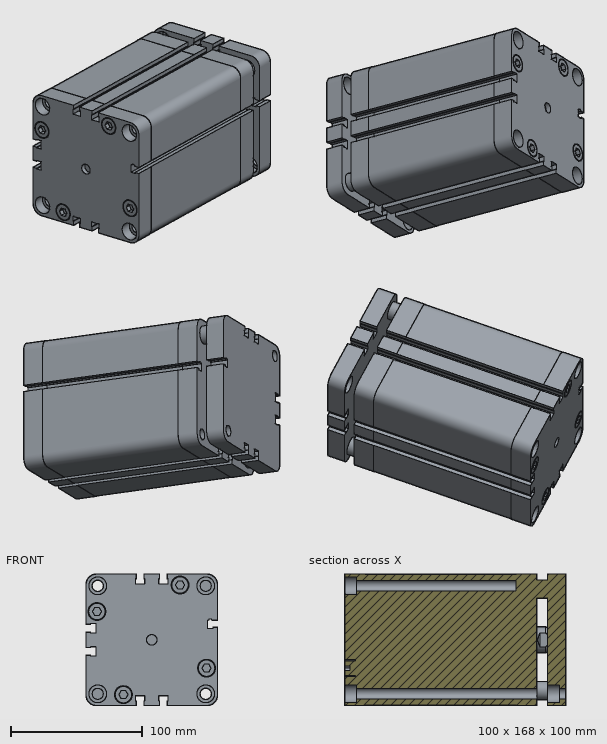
import cadquery as cq
side = 100.0
total_length = 168.0
barrel_side = 99.7
corner_radius = 8.0

plate_thickness = 14.0
plate_gap = 8.0
cap_thickness = 16.0
body_length = total_length - plate_thickness - plate_gap
plate_start = body_length + plate_gap
rear_cap_start = body_length - cap_thickness

slot_depth = 7.5
slot_lip = 3.5
slot_offset = 8.8
slot_mouth = 5.8
slot_width = 6.9
sensor_slot_height = 12.2
sensor_slot_mouth = 5.0
sensor_slot_corner = 1.3

rod_diameter = 20.0
rod_flats = 17.0
rod_flat_length = 5.6
rod_chamfer_length = 1.5
rod_chamfer_depth = 0.6

guide_diameter = 14.0
guide_offset = 38.5

mount_offset = 41.0
mount_bore = 8.4
mount_counterbore = 13.5
mount_counterbore_depth = 9.0

screw_long_offset = 41.6
screw_short_offset = 21.5
screw_seat = 13.5
screw_head = 12.5
screw_head_height = 8.0
hex_across_corners = 6.93
hex_depth = 4.0

centre_hole_diameter = 8.0
centre_hole_depth = 4.0


def rod_along_y(x, z, diameter, start, length):
    """Cylinder parallel to Y, starting at Y = start."""
    return cq.Workplane("XZ", origin=(x, start, z)).circle(diameter / 2).extrude(-length)


def rounded_block(width, start, length):
    """Square block along Y with rounded lengthwise edges."""
    block = cq.Workplane("XZ", origin=(0, start, 0)).rect(width, width).extrude(-length)
    return block.edges("|Y").fillet(corner_radius)


def t_slot(offset, surface):
    """T-slot cutter on the +Z side, centred at X = offset, measured down from Z = surface."""
    top = cq.Workplane("XY").box(slot_mouth, total_length, slot_depth, centered=(True, False, False))
    wide_height = slot_depth - slot_lip
    wide = cq.Workplane("XY").box(slot_width, total_length, wide_height, centered=(True, False, False))
    return top.union(wide).translate((offset, 0, surface - slot_depth))


def turned_about_y(shape, angle):
    return shape.rotate((0, 0, 0), (0, 1, 0), angle)


def sensor_slot(surface):
    """Slot with a narrower mouth on the +X side, measured in from X = surface; upper inner corners broken."""
    mouth = cq.Workplane("XY").box(slot_depth, total_length, sensor_slot_mouth, centered=(False, False, True))
    wide_depth = slot_depth - slot_lip
    wide = cq.Workplane("XY").box(wide_depth, total_length, slot_width, centered=(False, False, True))
    wide = wide.edges("|Y and >Z").chamfer(sensor_slot_corner)
    return mouth.union(wide).translate((surface - slot_depth, 0, sensor_slot_height))


def slotted_block(width, start, length):
    """Rounded block with slot pairs on the +Z, -Z and -X sides and one sensor slot on the +X side."""
    block = rounded_block(width, start, length).cut(sensor_slot(width / 2))
    for offset in (-slot_offset, slot_offset):
        slot = t_slot(offset, width / 2)
        for angle in (0, 180, -90):
            block = block.cut(turned_about_y(slot, angle))
    return block


def piston_rod():
    """Rod joining body and plate, with two flats that run out in 45 degree slopes."""
    radius = rod_diameter / 2
    chamfer_start = plate_gap - rod_chamfer_length
    rod = (
        cq.Workplane("XY", origin=(0, body_length, 0))
        .lineTo(radius, 0)
        .lineTo(radius, chamfer_start)
        .lineTo(radius - rod_chamfer_depth, plate_gap)
        .lineTo(0, plate_gap)
        .close()
        .revolve(360, (0, 0, 0), (0, 1, 0))
    )
    half_flats = rod_flats / 2
    flat_start = plate_gap - rod_flat_length
    runout = radius - half_flats
    flat_cut = (
        cq.Workplane("XY", origin=(0, body_length, 0))
        .moveTo(half_flats, plate_gap)
        .lineTo(half_flats, flat_start)
        .lineTo(radius, flat_start - runout)
        .lineTo(radius, plate_gap)
        .close()
        .extrude(radius, both=True)
    )
    return rod.cut(flat_cut).cut(flat_cut.mirror("YZ"))


def screw_gap(x, z):
    """Clearance ring around a screw head together with its hexagon socket."""
    seat = rod_along_y(x, z, screw_seat, 0, screw_head_height)
    head = rod_along_y(x, z, screw_head, 0, screw_head_height)
    socket = cq.Workplane("XZ", origin=(x, 0, z)).polygon(6, hex_across_corners).extrude(-hex_depth)
    return seat.cut(head).union(socket)


front_cap = slotted_block(side, 0, cap_thickness)
barrel = slotted_block(barrel_side, cap_thickness, rear_cap_start - cap_thickness)
rear_cap = slotted_block(side, rear_cap_start, cap_thickness)
end_plate = slotted_block(side, plate_start, plate_thickness)
result = front_cap.union(barrel).union(rear_cap).union(end_plate)

result = result.union(piston_rod())
for sign in (-1, 1):
    guide = rod_along_y(sign * guide_offset, sign * guide_offset, guide_diameter, body_length, plate_gap)
    result = result.union(guide)

for x_sign in (-1, 1):
    for z_sign in (-1, 1):
        x = x_sign * mount_offset
        z = z_sign * mount_offset
        result = result.cut(rod_along_y(x, z, mount_counterbore, 0, mount_counterbore_depth))
        is_through = x_sign != z_sign
        if is_through:
            result = result.cut(rod_along_y(x, z, mount_bore, 0, total_length))
            result = result.cut(rod_along_y(x, z, mount_counterbore, plate_start, mount_counterbore_depth))
        else:
            result = result.cut(rod_along_y(x, z, mount_bore, 0, rear_cap_start))

for x, z in (
    (screw_short_offset, screw_long_offset),
    (screw_long_offset, -screw_short_offset),
    (-screw_short_offset, -screw_long_offset),
    (-screw_long_offset, screw_short_offset),
):
    result = result.cut(screw_gap(x, z))
result = result.cut(rod_along_y(0, 0, centre_hole_diameter, 0, centre_hole_depth))